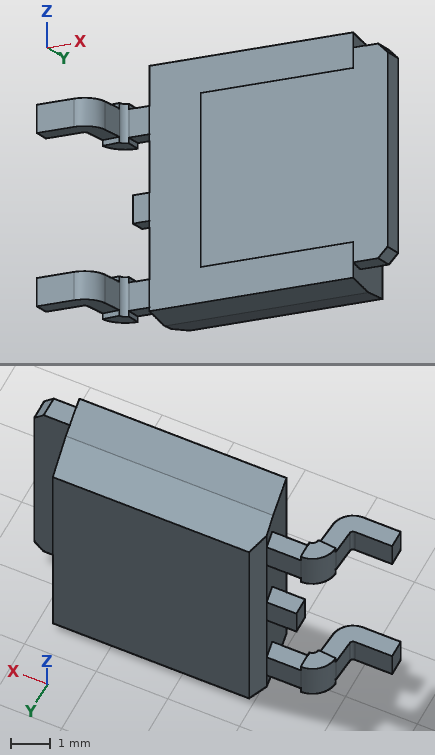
import cadquery as cq
import math

length = 9.9

housing_width = 6.5
housing_height = 2.39
parting_height = 1.21
end_taper = 0.2
shoulder_height = 1.79
base_left = 3.14
base_right = 8.92
shoulder_left = 2.83
top_left = 3.04
top_right = 8.51

lead_thickness = 0.5
lead_width = 0.75
lead_offset = 2.3
stub_start = 2.0
foot_drop = 0.11
leg_tilt = math.radians(5)
upper_bend_x = 1.88
upper_outer_radius = 0.68
upper_bend_width = 1.05
lower_inner_radius = 0.09

tab_thickness = 0.58
tab_width = 5.69
tab_chamfer = 0.27
pad_start = 4.59
pad_width = 4.61


def left_wall_x(y):
    """X of the sloped lead-side wall at height y, up to the shoulder."""
    return base_left + (shoulder_left - base_left) * y / shoulder_height


def right_wall_x(y):
    """X of the sloped tab-side wall at height y."""
    return base_right + (top_right - base_right) * y / housing_height


def on_circle(center, radius, angle):
    return (center[0] + radius * math.cos(angle), center[1] + radius * math.sin(angle))


def centered_extrude(profile, width):
    """Extrude an XY profile symmetrically about Z = 0 to the given full width."""
    return profile.extrude(width / 2, both=True)


def make_tab():
    wide_profile = (
        cq.Workplane("XY")
        .moveTo(base_right, 0)
        .lineTo(length, 0)
        .lineTo(length, tab_thickness)
        .lineTo(right_wall_x(tab_thickness), tab_thickness)
        .close()
    )
    wide_end = centered_extrude(wide_profile, tab_width)
    wide_end = wide_end.edges("|Y and >X").chamfer(tab_chamfer)
    pad = cq.Workplane("XY").box(
        base_right - pad_start, tab_thickness, pad_width, centered=(False, False, True)
    ).translate((pad_start, 0, 0))
    return wide_end.union(pad)


def make_housing(tab):
    side_profile = cq.Workplane("XY").polyline([
        (base_left, 0),
        (base_right, 0),
        (top_right, housing_height),
        (top_left, housing_height),
        (shoulder_left, shoulder_height),
    ]).close()
    block = centered_extrude(side_profile, housing_width)

    half_width = housing_width / 2
    cross_section = cq.Workplane("YZ").polyline([
        (0, -half_width),
        (parting_height, -half_width),
        (housing_height, end_taper - half_width),
        (housing_height, half_width - end_taper),
        (parting_height, half_width),
        (0, half_width),
    ]).close().extrude(length)
    return block.intersect(cross_section).cut(tab)


def make_straight_lead(start):
    """Straight bar from x = start to the sloped housing wall."""
    lead_bottom = shoulder_height - lead_thickness
    profile = cq.Workplane("XY").polyline([
        (start, lead_bottom),
        (left_wall_x(lead_bottom), lead_bottom),
        (left_wall_x(shoulder_height), shoulder_height),
        (start, shoulder_height),
    ]).close()
    return centered_extrude(profile, lead_width)


def make_formed_lead():
    """Gull-wing lead: straight bar, wide upper bend, tilted leg, lower bend and foot."""
    upper_inner_radius = upper_outer_radius - lead_thickness
    lower_outer_radius = lower_inner_radius + lead_thickness
    upper_center = (upper_bend_x, shoulder_height - upper_outer_radius)

    lower_center_y = lower_outer_radius - foot_drop
    center_rise = upper_center[1] - lower_center_y
    tangent_span = upper_outer_radius + lower_inner_radius
    center_run = (tangent_span + center_rise * math.sin(leg_tilt)) / math.cos(leg_tilt)
    lower_center = (upper_bend_x - center_run, lower_center_y)

    up = math.pi / 2
    upper_end = math.pi - leg_tilt
    upper_middle = (up + upper_end) / 2
    lower_end = -leg_tilt
    lower_middle = (lower_end - up) / 2

    bend_profile = (
        cq.Workplane("XY")
        .moveTo(*on_circle(upper_center, upper_outer_radius, up))
        .threePointArc(
            on_circle(upper_center, upper_outer_radius, upper_middle),
            on_circle(upper_center, upper_outer_radius, upper_end),
        )
        .lineTo(*on_circle(upper_center, upper_inner_radius, upper_end))
        .threePointArc(
            on_circle(upper_center, upper_inner_radius, upper_middle),
            on_circle(upper_center, upper_inner_radius, up),
        )
        .close()
    )
    foot_profile = (
        cq.Workplane("XY")
        .moveTo(0, -foot_drop)
        .lineTo(*on_circle(lower_center, lower_outer_radius, -up))
        .threePointArc(
            on_circle(lower_center, lower_outer_radius, lower_middle),
            on_circle(lower_center, lower_outer_radius, lower_end),
        )
        .lineTo(*on_circle(upper_center, upper_inner_radius, upper_end))
        .lineTo(*on_circle(upper_center, upper_outer_radius, upper_end))
        .lineTo(*on_circle(lower_center, lower_inner_radius, lower_end))
        .threePointArc(
            on_circle(lower_center, lower_inner_radius, lower_middle),
            on_circle(lower_center, lower_inner_radius, -up),
        )
        .lineTo(0, lead_thickness - foot_drop)
        .close()
    )
    wide_bend = centered_extrude(bend_profile, upper_bend_width)
    leg_and_foot = centered_extrude(foot_profile, lead_width)
    return make_straight_lead(upper_bend_x).union(wide_bend).union(leg_and_foot)


tab = make_tab()
housing = make_housing(tab)
middle_lead = make_straight_lead(stub_start)
formed_lead = make_formed_lead()
outer_leads = [formed_lead.translate((0, 0, side * lead_offset)) for side in (-1, 1)]

bodies = [housing, tab, middle_lead, *outer_leads]
result = cq.Compound.makeCompound([body.solids().val() for body in bodies])